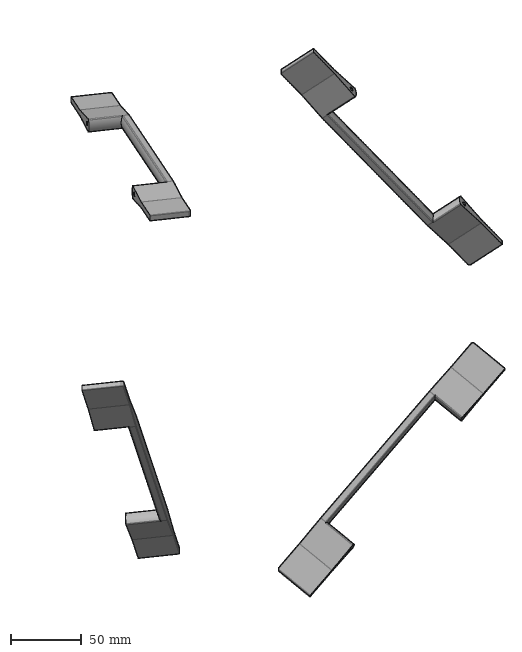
import cadquery as cq
import math

length = 214.0
depth = 30.0
height = 10.0

opening = 116.6
bar_depth = 6.5
blade_length = 24.0
blade_thickness = 4.5

bulge = 1.3
ridge_radius = 0.9

corner_radius = 1.7
edge_radius = 0.5

hole_diameter = 3.0
hole_spacing = 127.5
hole_depth = 8.5
drill_point_angle = 118.0

half_length = length / 2
half_height = height / 2
half_blade = blade_thickness / 2
front_y = -depth / 2
back_y = depth / 2
step_x = half_length - blade_length
ridge_x = opening / 2 + bulge
bar_front_y = back_y - bar_depth
ridge_y = bar_front_y + bulge


def make_envelope():
    """Full-depth body: thin blades at both ends, tapering up to the thick middle."""
    upper = [
        (-half_length, half_blade),
        (-step_x, half_blade),
        (-ridge_x, half_height),
        (ridge_x, half_height),
        (step_x, half_blade),
        (half_length, half_blade),
    ]
    lower = [(x, -z) for x, z in reversed(upper)]
    body = cq.Workplane("XZ", origin=(0, back_y, 0)).polyline(upper + lower).close().extrude(depth)
    body = body.edges("|Z and >Y").fillet(corner_radius)
    return body.faces(">Y").edges("not |Z").fillet(edge_radius)


def make_foot(side):
    """Foot on the left (side = -1) or right (side = 1), full height at its bulged inner face."""
    foot = (
        cq.Workplane("XZ", origin=(0, back_y, 0))
        .moveTo(side * half_length, half_blade)
        .lineTo(side * step_x, half_blade)
        .lineTo(side * ridge_x, half_height)
        .threePointArc((side * opening / 2, 0), (side * ridge_x, -half_height))
        .lineTo(side * step_x, -half_blade)
        .lineTo(side * half_length, -half_blade)
        .close()
        .extrude(depth)
    )
    return foot.edges("|Y").edges(">Z or <Z").fillet(ridge_radius)


def make_bar():
    """Bar with a bulged front face, long enough to run into both feet."""
    bar = (
        cq.Workplane("YZ", origin=(-step_x, 0, 0))
        .moveTo(back_y, half_height)
        .lineTo(ridge_y, half_height)
        .threePointArc((bar_front_y, 0), (ridge_y, -half_height))
        .lineTo(back_y, -half_height)
        .close()
        .extrude(2 * step_x)
    )
    return bar.edges("|X").edges("<Y").fillet(ridge_radius)


def make_hole(side):
    """Drill shape for the mounting hole of one foot: a cylinder ending in a cone."""
    radius = hole_diameter / 2
    point_length = radius / math.tan(math.radians(drill_point_angle / 2))
    axis_x = side * hole_spacing / 2
    outline = (
        cq.Workplane("XY", origin=(axis_x, front_y, 0))
        .lineTo(radius, 0)
        .lineTo(radius, hole_depth)
        .lineTo(0, hole_depth + point_length)
        .close()
    )
    return outline.revolve(360, (0, 0, 0), (0, 1, 0))


frame = make_bar().union(make_foot(-1)).union(make_foot(1))
result = make_envelope().intersect(frame)
for side in (-1, 1):
    result = result.cut(make_hole(side))